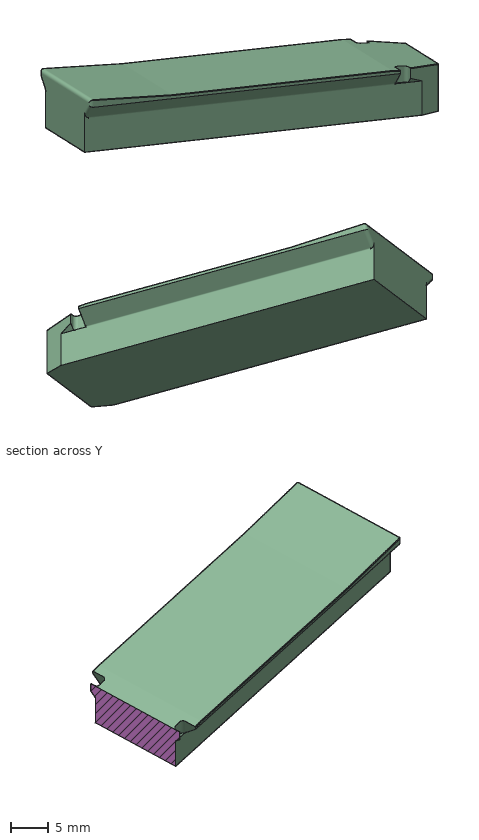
import cadquery as cq
import math

length = 52
flange_width = 17.5
stem_width = 13.7
overhang = (flange_width - stem_width) / 2
front_y = -length / 2
rear_y = length / 2

flange_edge_height = 6.7
stem_height = flange_edge_height - overhang
rear_height = 6.6
deck_height = 7.25
overall_height = 7.75
front_edge_radius = 0.5
front_ramp_length = 11.95
rear_ramp_length = 8.0

ramp_slope = (overall_height - deck_height) / (front_ramp_length - front_edge_radius)
front_height = deck_height + ramp_slope * front_ramp_length

head_end_width = 11.55
head_base_width = 15.2
head_length = 4.85
neck_width = 12.9
notch_length = 1.9
notch_corner_radius = 0.5

root_radius = 0.2
top_edge_chamfer = 0.1

clearance = 10.4


def flanged_bar():
    """Bar with a narrow stem and a wide flange on sloping undersides."""
    half_stem = stem_width / 2
    half_flange = flange_width / 2
    section = [
        (-half_stem, 0),
        (half_stem, 0),
        (half_stem, stem_height),
        (half_flange, flange_edge_height),
        (half_flange, front_height),
        (-half_flange, front_height),
        (-half_flange, flange_edge_height),
        (-half_stem, stem_height),
    ]
    return cq.Workplane("XZ").polyline(section).close().extrude(length / 2, both=True)


def side_envelope():
    """Side outline: rear slope, level deck and rising front ramp."""
    outline = [
        (front_y, 0),
        (rear_y, 0),
        (rear_y, rear_height),
        (rear_y - rear_ramp_length, deck_height),
        (front_y + front_ramp_length, deck_height),
        (front_y, front_height),
    ]
    return cq.Workplane("YZ").polyline(outline).close().extrude(flange_width / 2, both=True)


def head_envelope():
    """Plan outline that tapers the head towards the rear end."""
    base_y = rear_y - head_length
    half_flange = flange_width / 2
    outline = [
        (-half_flange, front_y),
        (half_flange, front_y),
        (half_flange, base_y),
        (head_base_width / 2, base_y),
        (head_end_width / 2, rear_y),
        (-head_end_width / 2, rear_y),
        (-head_base_width / 2, base_y),
        (-half_flange, base_y),
    ]
    return cq.Workplane("XY").polyline(outline).close().extrude(front_height)


def neck_notch(side):
    """Notch above the stem on one side, rounded at its inner corners."""
    notch_y = rear_y - head_length - notch_length / 2
    notch_x = side * (neck_width + clearance) / 2
    return (
        cq.Workplane("XY", origin=(notch_x, notch_y, stem_height))
        .rect(clearance, notch_length)
        .extrude(clearance)
        .edges("|Z")
        .fillet(notch_corner_radius)
    )


def round_front_edges(bar):
    """Round the top, side and sloping edges of the flange's front end."""
    flange_zone = cq.selectors.BoxSelector(
        (-flange_width, front_y - 0.5, stem_height + 0.5),
        (flange_width, front_y + 0.5, front_height + 0.5),
    )
    return bar.faces("<Y").edges(flange_zone).fillet(front_edge_radius)


def root_fillet(side):
    """Concave blend from the stem to the flange underside, ahead of one notch."""
    half_stem = stem_width / 2
    slope_angle = math.radians(45)
    half_angle = slope_angle / 2
    setback = root_radius * math.tan(half_angle)
    slope_step = setback * math.sin(slope_angle)
    arc_step = root_radius * (1 - math.cos(half_angle))
    arc_rise = root_radius * math.sin(half_angle)
    start_z = stem_height - setback
    span = length - front_edge_radius - head_length - notch_length
    return (
        cq.Workplane("XZ", origin=(0, front_y + front_edge_radius, 0))
        .moveTo(side * half_stem, start_z)
        .threePointArc(
            (side * (half_stem + arc_step), start_z + arc_rise),
            (side * (half_stem + slope_step), stem_height + slope_step),
        )
        .lineTo(side * half_stem, stem_height)
        .close()
        .extrude(-span)
    )


def bevelled_envelope():
    """Side and plan outlines combined, with the long top edges broken."""
    top_zone = cq.selectors.BoxSelector(
        (-flange_width, front_y - 0.5, stem_height),
        (flange_width, rear_y + 0.5, front_height + 0.5),
    )
    envelope = side_envelope().intersect(head_envelope())
    return envelope.edges("not (|X or |Z)").edges(top_zone).chamfer(top_edge_chamfer)


bar = flanged_bar().intersect(side_envelope())
bar = round_front_edges(bar).intersect(bevelled_envelope())
for side in (-1, 1):
    bar = bar.cut(neck_notch(side)).union(root_fillet(side))
result = bar